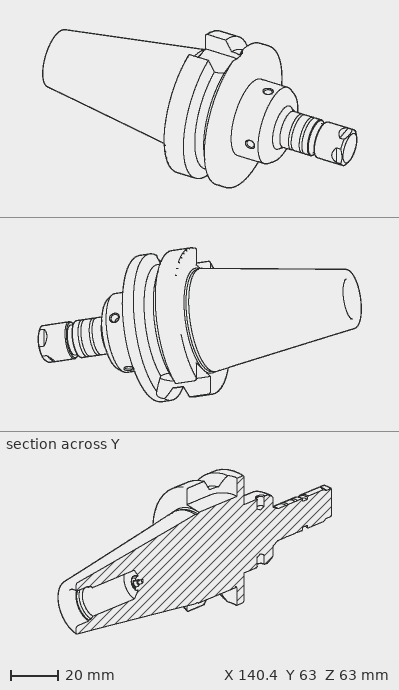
import cadquery as cq
import math


gauge_radius = 44.45 / 2
taper_length = 65.4
taper_slope = 7 / 24 / 2
shank_end_fillet = 1.0

relief_bottom = 1.35
relief_depth = 0.3
flange_back = 2.0
flange_front = 27.0
flange_radius = 31.5
flange_fillet = 1.0
grip_center = 16.6
grip_width = 10.0
grip_bottom_radius = 26.5
grip_wall_angle = 30

drive_slot_width = 16.1
drive_slot_floor = 22.5
drive_slot_end = 22.9

body_radius = 17.0
body_cone_start = 39.8
body_cone_angle = 33
body_front = 43.0
body_edge_fillet = 2.5

spindle_radius = 8.0
spindle_cone_end = 45.6
spindle_cone_angle = 32
spindle_front = 59.05
spindle_chamfer = 0.3
spindle_groove_centers = (50.4, 55.5)
spindle_groove_width = 1.3
spindle_groove_depth = 0.15
neck_radius = 6.5
neck_fillet = 0.35
nut_back = 61.65
nut_back_chamfer = 0.45
nut_front = 75.0
nut_tip_length = 0.8
nut_tip_radius = 6.5

flat_distance = 7.0
flat_start = 72.1
flat_runout_angle = 30
flat_count = 4
flat_cutter_margin = 1.0

mouth_fillet = 1.0
entry_bore_radius = 8.5
entry_bore_depth = 6.9
thread_radius = 8.0
thread_relief_length = 1.3
thread_lead_angle = 45
thread_minor_radius = 7.0
thread_bore_depth = 32.0
drill_tip_angle = 118

plug_radius = 3.5
plug_chamfer = 0.7
plug_height = 1.5
plug_socket_radius = 3.0 / 2
plug_socket_mouth_radius = 3.46 / 2
plug_socket_depth = 2.0
plug_pilot_radius = 1.7 / 2
plug_pilot_depth = 4.0

screw_hole_x = 36.0
screw_hole_radius = 3.46 / 2
screw_mouth_radius = 4.5 / 2
screw_hole_depth = 5.0
screw_hole_count = 4
screw_drill_margin = 1.0


def tan(angle):
    return math.tan(math.radians(angle))


def revolve_profile(profile):
    """Turn a closed (x, radius) outline about the X axis."""
    return profile.close().revolve(360, (0, 0, 0), (1, 0, 0))


def make_shank():
    end_radius = gauge_radius - taper_slope * taper_length
    relief_radius = gauge_radius - relief_depth
    root_radius = relief_radius + flange_back - relief_bottom
    profile = (
        cq.Workplane("XY")
        .moveTo(-taper_length, 0)
        .lineTo(-taper_length, end_radius)
        .lineTo(0, gauge_radius)
        .lineTo(relief_bottom, relief_radius)
        .lineTo(flange_back, root_radius)
        .lineTo(flange_back, 0)
    )
    return revolve_profile(profile).faces("<X").edges().fillet(shank_end_fillet)


def make_flange():
    groove_wall = (flange_radius - grip_bottom_radius) * tan(grip_wall_angle)
    groove_back = grip_center - grip_width / 2
    groove_front = grip_center + grip_width / 2
    profile = (
        cq.Workplane("XY")
        .moveTo(flange_back, 0)
        .lineTo(flange_back, flange_radius)
        .lineTo(groove_back, flange_radius)
        .lineTo(groove_back + groove_wall, grip_bottom_radius)
        .lineTo(groove_front - groove_wall, grip_bottom_radius)
        .lineTo(groove_front, flange_radius)
        .lineTo(flange_front, flange_radius)
        .lineTo(flange_front, 0)
    )
    return revolve_profile(profile).faces("<X or >X").edges().fillet(flange_fillet)


def cut_drive_slots(solid):
    end_radius = drive_slot_width / 2
    slot_height = flange_radius - drive_slot_floor
    end_center = drive_slot_end - end_radius
    for slot_base in (drive_slot_floor, -flange_radius):
        plane = cq.Workplane("XY").workplane(offset=slot_base)
        slot = (
            plane.moveTo(0, -end_radius)
            .lineTo(end_center, -end_radius)
            .threePointArc((drive_slot_end, 0), (end_center, end_radius))
            .lineTo(0, end_radius)
            .close()
            .extrude(slot_height)
        )
        solid = solid.cut(slot)
    return solid


def make_body():
    cone_end_radius = body_radius - (body_front - body_cone_start) * tan(body_cone_angle)
    profile = (
        cq.Workplane("XY")
        .moveTo(flange_back, 0)
        .lineTo(flange_back, body_radius)
        .lineTo(body_cone_start, body_radius)
        .lineTo(body_front, cone_end_radius)
        .lineTo(body_front, 0)
    )
    return revolve_profile(profile).faces(">X").edges().fillet(body_edge_fillet)


def make_spindle():
    cone_back_radius = spindle_radius + (spindle_cone_end - body_front) * tan(spindle_cone_angle)
    half_groove = spindle_groove_width / 2
    neck_bend = neck_fillet * (1 - math.sqrt(0.5))
    profile = (
        cq.Workplane("XY")
        .moveTo(flange_back, 0)
        .lineTo(flange_back, cone_back_radius)
        .lineTo(body_front, cone_back_radius)
        .lineTo(spindle_cone_end, spindle_radius)
    )
    for center in spindle_groove_centers:
        profile = profile.lineTo(center - half_groove, spindle_radius).threePointArc(
            (center, spindle_radius - spindle_groove_depth),
            (center + half_groove, spindle_radius),
        )
    profile = (
        profile.lineTo(spindle_front - spindle_chamfer, spindle_radius)
        .lineTo(spindle_front, spindle_radius - spindle_chamfer)
        .lineTo(spindle_front, neck_radius + neck_fillet)
        .threePointArc(
            (spindle_front + neck_bend, neck_radius + neck_bend),
            (spindle_front + neck_fillet, neck_radius),
        )
        .lineTo(nut_back, neck_radius)
        .lineTo(nut_back, spindle_radius - nut_back_chamfer)
        .lineTo(nut_back + nut_back_chamfer, spindle_radius)
        .lineTo(nut_front - nut_tip_length, spindle_radius)
        .lineTo(nut_front, nut_tip_radius)
        .lineTo(nut_front, 0)
    )
    return revolve_profile(profile)


def cut_wrench_flats(solid):
    clearance = spindle_radius + flat_cutter_margin
    runout = (clearance - flat_distance) / tan(flat_runout_angle)
    cutter = (
        cq.Workplane("XZ")
        .moveTo(flat_start, flat_distance)
        .lineTo(nut_front, flat_distance)
        .lineTo(nut_front, clearance)
        .lineTo(flat_start - runout, clearance)
        .close()
        .extrude(spindle_radius, both=True)
    )
    for index in range(flat_count):
        solid = solid.cut(cutter.rotate((0, 0, 0), (1, 0, 0), index * 360 / flat_count))
    return solid


def cut_shank_bore(solid):
    back = -taper_length
    entry_end = back + entry_bore_depth
    relief_end = entry_end + thread_relief_length
    lead_end = relief_end + (thread_radius - thread_minor_radius) / tan(thread_lead_angle)
    thread_end = back + thread_bore_depth
    slope = tan(drill_tip_angle / 2)
    floor = thread_end + (thread_minor_radius - plug_radius) / slope
    plug_end = floor - plug_height
    mouth_radius = entry_bore_radius + mouth_fillet
    mouth_bend = mouth_fillet * (1 - math.sqrt(0.5))
    profile = (
        cq.Workplane("XY")
        .moveTo(back, 0)
        .lineTo(back, mouth_radius)
        .threePointArc(
            (back + mouth_bend, entry_bore_radius + mouth_bend),
            (back + mouth_fillet, entry_bore_radius),
        )
        .lineTo(entry_end, entry_bore_radius)
        .lineTo(entry_end, thread_radius)
        .lineTo(relief_end, thread_radius)
        .lineTo(lead_end, thread_minor_radius)
        .lineTo(thread_end, thread_minor_radius)
        .lineTo(floor, plug_radius)
        .lineTo(plug_end + plug_chamfer, plug_radius)
        .lineTo(plug_end, plug_radius - plug_chamfer)
        .lineTo(plug_end, plug_socket_mouth_radius)
        .lineTo(plug_end + plug_socket_mouth_radius - plug_socket_radius, plug_socket_radius)
        .lineTo(plug_end + plug_socket_depth, plug_socket_radius)
        .lineTo(plug_end + plug_socket_depth, plug_pilot_radius)
        .lineTo(plug_end + plug_pilot_depth, plug_pilot_radius)
        .lineTo(plug_end + plug_pilot_depth, 0)
    )
    return solid.cut(revolve_profile(profile))


def cut_screw_holes(solid):
    bottom = body_radius - screw_hole_depth
    tip = bottom - screw_hole_radius / tan(drill_tip_angle / 2)
    mouth_depth = screw_mouth_radius - screw_hole_radius
    outside = body_radius + screw_drill_margin
    drill = (
        cq.Workplane("XZ")
        .moveTo(0, tip)
        .lineTo(screw_hole_radius, bottom)
        .lineTo(screw_hole_radius, body_radius - mouth_depth)
        .lineTo(screw_mouth_radius, body_radius)
        .lineTo(screw_mouth_radius, outside)
        .lineTo(0, outside)
        .close()
        .revolve(360, (0, 0, 0), (0, 1, 0))
        .translate((screw_hole_x, 0, 0))
    )
    for index in range(screw_hole_count):
        solid = solid.cut(drill.rotate((0, 0, 0), (1, 0, 0), index * 360 / screw_hole_count))
    return solid


holder = make_shank().union(cut_drive_slots(make_flange()))
holder = holder.union(make_body()).union(make_spindle())
holder = cut_wrench_flats(holder)
holder = cut_shank_bore(holder)
result = cut_screw_holes(holder)